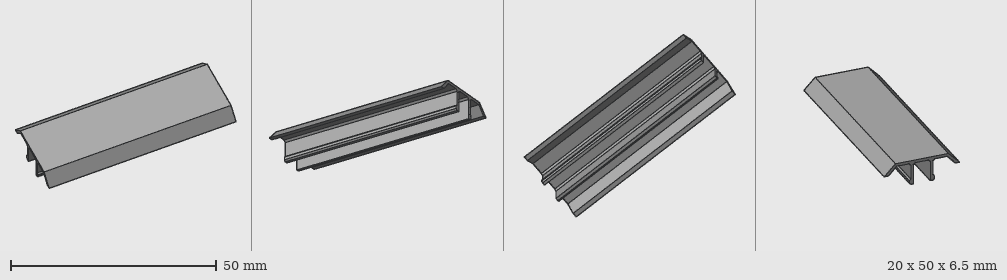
import cadquery as cq

length = 50.0
width = 20.0
height = 6.5
wall = 0.75

wing_drop = 3.0
plate_half_width = width / 2 - wing_drop
wing_foot_width = 1.2
inner_tip_x = width / 2 - wing_foot_width
inner_bend_x = 6.7

leg_inner_x = 2.2
leg_outer_x = leg_inner_x + wall
root_chamfer = 0.5
bead_projection = 0.4
bead_outer_x = leg_outer_x + bead_projection
bead_flat_height = 0.7


def extrude_profile(sketch_wire):
    """Extrude a closed XZ outline symmetrically along Y."""
    return sketch_wire.close().extrude(length / 2, both=True)


def make_cover():
    return extrude_profile(
        cq.Workplane("XZ").polyline([
            (-width / 2, -wing_drop),
            (-plate_half_width, 0),
            (plate_half_width, 0),
            (width / 2, -wing_drop),
            (inner_tip_x, -wing_drop),
            (inner_bend_x, -wall),
            (-inner_bend_x, -wall),
            (-inner_tip_x, -wing_drop),
        ])
    )


def make_right_leg():
    """Leg, bead and root chamfers, running clockwise from the inner root."""
    bead_flat_bottom = -height + bead_projection
    bead_flat_top = bead_flat_bottom + bead_flat_height
    return extrude_profile(
        cq.Workplane("XZ")
        .moveTo(leg_inner_x - root_chamfer, -wall / 2)
        .lineTo(leg_outer_x + root_chamfer, -wall / 2)
        .lineTo(leg_outer_x + root_chamfer, -wall)
        .lineTo(leg_outer_x, -wall - root_chamfer)
        .lineTo(leg_outer_x, bead_flat_top + bead_projection)
        .lineTo(bead_outer_x, bead_flat_top)
        .lineTo(bead_outer_x, bead_flat_bottom)
        .lineTo(leg_outer_x, -height)
        .lineTo(leg_inner_x, -height)
        .lineTo(leg_inner_x, -wall - root_chamfer)
        .lineTo(leg_inner_x - root_chamfer, -wall)
    )


right_leg = make_right_leg()
left_leg = right_leg.mirror("YZ")
result = make_cover().union(right_leg).union(left_leg)